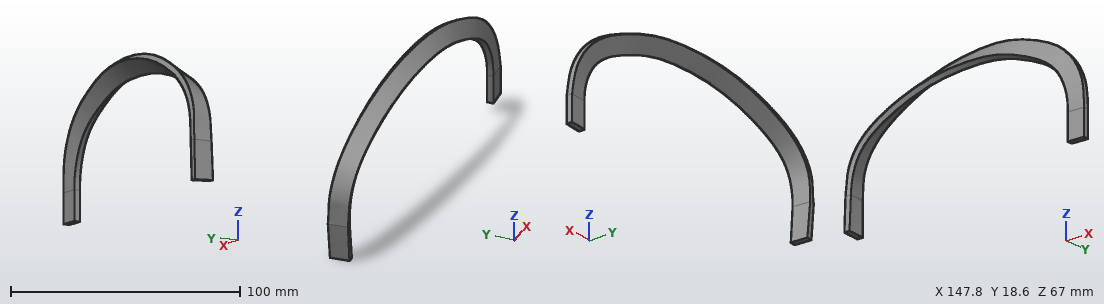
import cadquery as cq
import math

strip_width = 9.2
strip_thickness = 3.0

left_twist = 7.0
right_twist = 87.0
left_foot_twist = 2.0

left_leg_x = -72.6
left_leg_top = 17.6
left_foot_front_y = -0.9
left_foot_slope = 0.5
right_leg_x = 64.9
right_leg_top = 18.8
right_foot_z = 4.9

guide_mid_y = -4.5
left_leg_front_y = -0.1
right_leg_front_y = -9.2
section_count = 17

guide_points = [
    (left_leg_x, left_leg_top),
    (-70.7, 29.9),
    (-64.2, 40.5),
    (-54.1, 47.6),
    (-37.0, 54.7),
    (-19.2, 58.7),
    (0.0, 59.9),
    (21.0, 58.0),
    (40.4, 51.5),
    (53.5, 44.0),
    (61.5, 34.6),
    (right_leg_x, right_leg_top),
]
guide = cq.Edge.makeSpline(
    [cq.Vector(x, 0, z) for x, z in guide_points],
    tangents=[cq.Vector(0, 0, 1), cq.Vector(0, 0, -1)],
    scale=False,
)


def guide_y(x):
    """Front edge Y, linear from each leg to the middle of the arch."""
    if x < 0:
        return guide_mid_y + (left_leg_front_y - guide_mid_y) * x / left_leg_x
    return guide_mid_y + (right_leg_front_y - guide_mid_y) * x / right_leg_x


def section(corner, outward, twist):
    """Rectangular strip section with one corner on the guide edge."""
    angle = math.radians(twist)
    back = cq.Vector(0, 1, 0)
    across = (outward * math.sin(angle) + back * math.cos(angle)) * strip_width
    through = (back * math.sin(angle) - outward * math.cos(angle)) * strip_thickness
    corners = [corner, corner + across, corner + across + through, corner + through]
    return cq.Wire.makePolygon(corners, close=True)


def arch_section(fraction):
    """Section at a fraction of the arch length, square to the guide edge."""
    point = guide.positionAt(fraction)
    tangent = guide.tangentAt(fraction)
    corner = cq.Vector(point.x, guide_y(point.x), point.z)
    outward = cq.Vector(-tangent.z, 0, tangent.x)
    return section(corner, outward, left_twist + (right_twist - left_twist) * fraction)


arch_sections = [arch_section(i / (section_count - 1)) for i in range(section_count)]
arch = cq.Solid.makeLoft(arch_sections)

left_foot = section(
    cq.Vector(left_leg_x, left_foot_front_y, 0), cq.Vector(-1, 0, 0), left_foot_twist
)
left_leg = cq.Solid.makeLoft([arch_sections[0], left_foot], True)
foot_tilt = math.degrees(math.atan(left_foot_slope / strip_width))
cutter_side = 4 * strip_width
foot_cutter = (
    cq.Workplane("XY")
    .box(cutter_side, cutter_side, strip_width, centered=(True, True, False))
    .translate((0, 0, -strip_width))
    .rotate((0, 0, 0), (1, 0, 0), -foot_tilt)
    .translate((left_leg_x, left_foot_front_y, left_foot_slope))
)

right_leg = cq.Solid.extrudeLinear(
    arch_sections[-1], [], cq.Vector(0, 0, right_foot_z - right_leg_top)
)

result = cq.Workplane(arch).union(cq.Workplane(left_leg)).union(cq.Workplane(right_leg)).cut(foot_cutter)